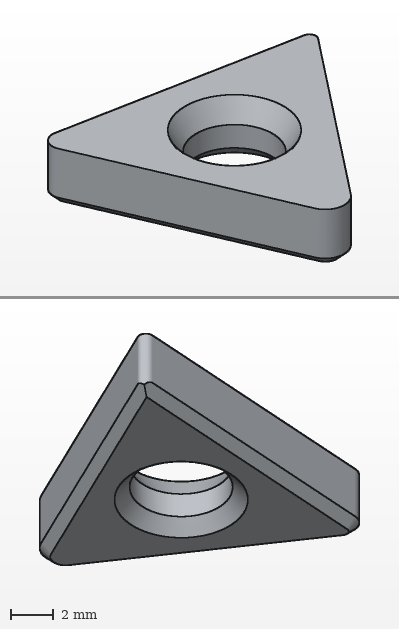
import cadquery as cq
import math

length_x = 15.03
thickness = 3.19
bottom_chamfer = 0.5

back_radius = 0.4
left_radius = 0.8
right_radius = 1.2

hole_diameter = 4.8
countersink_diameter = 6.2
countersink_depth = 1.2
relief_size = 0.7

corner_loss = (math.sqrt(3) - 1) * (left_radius + right_radius)
side = length_x + corner_loss
inscribed_radius = side / (2 * math.sqrt(3))


def base_rounded_prism():
    """Equilateral prism with its two base corners rounded and the back corner sharp."""
    prism = (
        cq.Workplane("XY")
        .polyline([
            (-side / 2, -inscribed_radius),
            (side / 2, -inscribed_radius),
            (0, 2 * inscribed_radius),
        ])
        .close()
        .extrude(thickness)
    )
    prism = prism.edges("|Z").edges("<X").fillet(left_radius)
    return prism.edges("|Z").edges(">X").fillet(right_radius)


def hole_cutter():
    """Through hole, countersink and bottom relief as one revolved profile."""
    hole_radius = hole_diameter / 2
    return (
        cq.Workplane("XZ")
        .polyline([
            (0, 0),
            (hole_radius + relief_size, 0),
            (hole_radius, relief_size),
            (hole_radius, thickness - countersink_depth),
            (countersink_diameter / 2, thickness),
            (0, thickness),
        ])
        .close()
        .revolve(360, (0, 0, 0), (0, 1, 0))
    )


chamfered = base_rounded_prism().faces("<Z").edges().chamfer(bottom_chamfer)
rounded = base_rounded_prism().edges("|Z").edges(">Y").fillet(back_radius)

result = chamfered.intersect(rounded).cut(hole_cutter())